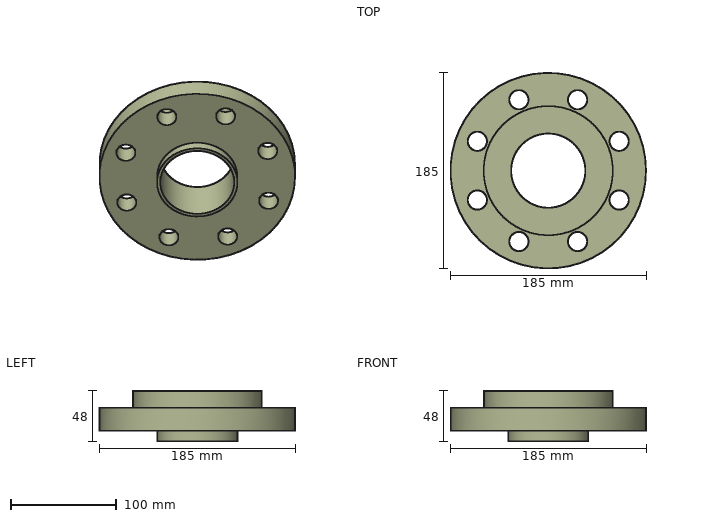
import cadquery as cq

flange_diameter = 185.0
flange_thickness = 22.0
bolt_count = 8
bolt_hole_diameter = 18.0
bolt_circle_diameter = 145.0
first_bolt_angle = 360 / bolt_count / 2

pipe_diameter = 76.0
bore_diameter = 70.0
collar_diameter = 122.1
collar_thickness = 16.0
pipe_projection = 10.0

pipe_length = pipe_projection + flange_thickness + collar_thickness


def make_flange():
    """Flat ring with a circle of bolt holes; its bore fits the pipe."""
    ring = (
        cq.Workplane("XY")
        .circle(flange_diameter / 2)
        .circle(pipe_diameter / 2)
        .extrude(flange_thickness)
    )
    bolt_holes = (
        cq.Workplane("XY")
        .polarArray(bolt_circle_diameter / 2, first_bolt_angle, 360, bolt_count)
        .circle(bolt_hole_diameter / 2)
        .extrude(flange_thickness)
    )
    return ring.cut(bolt_holes)


def make_stub_end():
    """Pipe through the flange, with the collar on top and one straight bore."""
    pipe = (
        cq.Workplane("XY")
        .workplane(offset=-pipe_projection)
        .circle(pipe_diameter / 2)
        .extrude(pipe_length)
    )
    collar = (
        cq.Workplane("XY")
        .workplane(offset=flange_thickness)
        .circle(collar_diameter / 2)
        .extrude(collar_thickness)
    )
    bore = (
        cq.Workplane("XY")
        .workplane(offset=-pipe_projection)
        .circle(bore_diameter / 2)
        .extrude(pipe_length)
    )
    return pipe.union(collar).cut(bore)


flange = make_flange()
stub_end = make_stub_end()

result = cq.Compound.makeCompound([flange.solids().val(), stub_end.solids().val()])